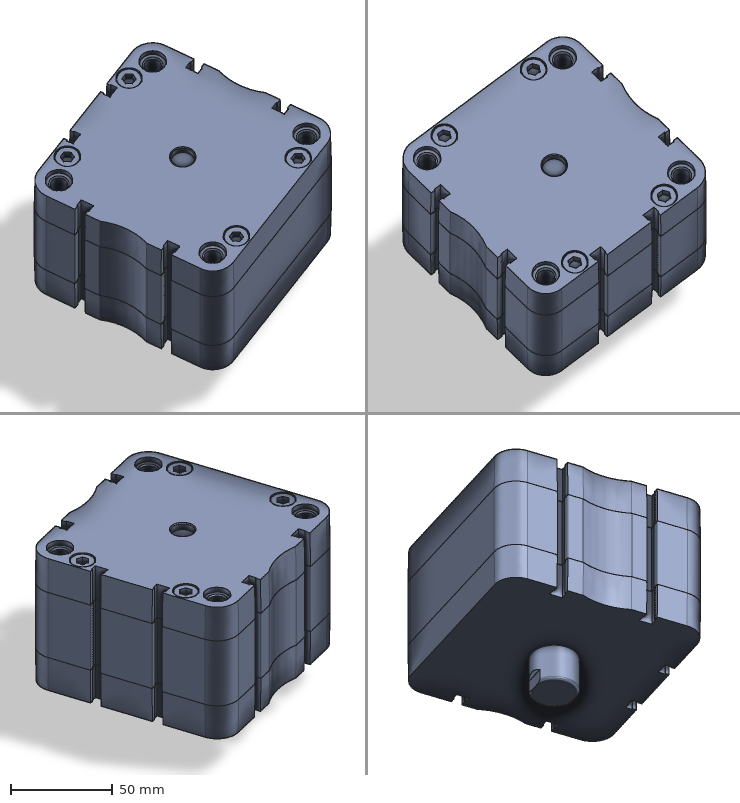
import cadquery as cq
import math


overall_height = 97.0
width = 113.5
half_width = width / 2
corner_radius = 12.3
barrel_height = 37.9
cap_height = 19.4
cap_draft = 0.37
cap_taper = math.degrees(math.atan(cap_draft / cap_height))
joint_z = barrel_height / 2
end_z = joint_z + cap_height

hollow_depth = 2.6
barrel_hollow_width = 27.2
cap_hollow_width = 26.8
hollow_edge_radius = 1.1

slot_mouth_width = 5.5
slot_inner_width = 6.6
slot_mouth_radius = 0.2
y_slot_offset = 25.0
y_slot_depth = 6.9
y_slot_lip = 3.3
x_slot_offset = 17.5
x_slot_depth = 5.8
x_slot_lip = 2.6
cap_slot_margin = 0.2

mount_offset = 44.5
mount_counterbore_diameter = 13.5
mount_counterbore_depth = 2.8
mount_hole_diameter = 8.5
mount_mouth_diameter = 10.1

screw_offset_x = 48.9
screw_offset_y = 29.3
screw_bore_diameter = 13.0
screw_head_diameter = 12.3
screw_head_recess = 0.6
screw_gap_depth = 1.7
socket_width = 6.0
socket_depth = 4.5

center_hole_diameter = 12.0
center_hole_mouth_diameter = 13.0
center_hole_depth = 3.9

rod_diameter = 25.0
rod_radius = rod_diameter / 2
rod_length = overall_height - 2 * end_z
rod_tip_radius = 1.7
flat_spacing = 22.0
flat_height = 7.3


def mirrored_points(x, y):
    return [(-x, -y), (x, -y), (x, y), (-x, y)]


def rounded_square_with_hollows(z, hollow_width):
    straight = half_width - corner_radius
    diagonal = straight + corner_radius * math.sqrt(0.5)
    hollow = hollow_width / 2
    return (
        cq.Workplane("XY", origin=(0, 0, z))
        .moveTo(straight, half_width)
        .lineTo(hollow, half_width)
        .threePointArc((0, half_width - hollow_depth), (-hollow, half_width))
        .lineTo(-straight, half_width)
        .threePointArc((-diagonal, diagonal), (-half_width, straight))
        .lineTo(-half_width, -straight)
        .threePointArc((-diagonal, -diagonal), (-straight, -half_width))
        .lineTo(-hollow, -half_width)
        .threePointArc((0, hollow_depth - half_width), (hollow, -half_width))
        .lineTo(straight, -half_width)
        .threePointArc((diagonal, -diagonal), (half_width, -straight))
        .lineTo(half_width, straight)
        .threePointArc((diagonal, diagonal), (straight, half_width))
        .close()
    )


def t_slot(depth, lip, margin):
    """A T-slot along Z that opens toward -X, for the side at x = -half_width."""
    slot_length = 2 * end_z
    slot_depth = depth + margin
    lip_depth = lip - margin
    mouth = cq.Workplane("XY").box(2 * slot_depth, slot_mouth_width + 2 * margin, slot_length)
    inner = (
        cq.Workplane("XY")
        .box(slot_depth - lip_depth, slot_inner_width + 2 * margin, slot_length)
        .translate(((slot_depth + lip_depth) / 2, 0, 0))
    )
    return mouth.union(inner).translate((-half_width, 0, 0))


def cut_slots(body, margin=0.0):
    x_slot = t_slot(x_slot_depth, x_slot_lip, margin)
    y_slot = t_slot(y_slot_depth, y_slot_lip, margin)
    for side in (-1, 1):
        body = body.cut(x_slot.translate((0, side * x_slot_offset, 0)))
        for turn in (-90, 90):
            turned_slot = y_slot.rotate((0, 0, 0), (0, 0, 1), turn)
            body = body.cut(turned_slot.translate((side * y_slot_offset, 0, 0)))
    return body


def upright_edges_at(body, points):
    edges = body.edges("|Z")
    reach = 0.1
    selector = None
    for x, y in points:
        box = cq.selectors.BoxSelector((x - reach, y - reach, -end_z), (x + reach, y + reach, end_z))
        selector = box if selector is None else selector + box
    return edges.edges(selector)


def make_barrel():
    barrel = rounded_square_with_hollows(-joint_z, barrel_hollow_width).extrude(barrel_height)
    hollow_edges = mirrored_points(barrel_hollow_width / 2, half_width)
    barrel = upright_edges_at(barrel, hollow_edges).fillet(hollow_edge_radius)
    barrel = cut_slots(barrel)
    mouth_edges = []
    for edge in (-slot_mouth_width / 2, slot_mouth_width / 2):
        mouth_edges += mirrored_points(y_slot_offset + edge, half_width)
        mouth_edges += [(-half_width, side * x_slot_offset + edge) for side in (-1, 1)]
    return upright_edges_at(barrel, mouth_edges).fillet(slot_mouth_radius)


def make_plain_cap():
    """A cap without holes, on top of the barrel, narrowing toward its outer end."""
    cap = rounded_square_with_hollows(joint_z, cap_hollow_width).extrude(cap_height, taper=cap_taper)
    return cut_slots(cap, cap_slot_margin)


def countersink(x, y, z, mouth_diameter, hole_diameter):
    """A 45-degree cone that narrows downward from z."""
    depth = (mouth_diameter - hole_diameter) / 2
    cone = cq.Solid.makeCone(
        mouth_diameter / 2, hole_diameter / 2, depth, pnt=cq.Vector(x, y, z), dir=cq.Vector(0, 0, -1)
    )
    return cq.Workplane(cone)


def cut_mounting_holes(cap, end_plane):
    places = mirrored_points(mount_offset, mount_offset)
    holes = end_plane.pushPoints(places)
    cap = cap.cut(holes.circle(mount_counterbore_diameter / 2).extrude(-mount_counterbore_depth))
    cap = cap.cut(holes.circle(mount_hole_diameter / 2).extrude(-cap_height))
    step_z = end_z - mount_counterbore_depth
    for x, y in places:
        cap = cap.cut(countersink(x, y, step_z, mount_mouth_diameter, mount_hole_diameter))
    return cap


def cut_screw_heads(cap, end_plane):
    """Leave recessed heads standing in ring-shaped gaps, each with a hexagon socket."""
    screws = end_plane.pushPoints(mirrored_points(screw_offset_x, screw_offset_y))
    gaps = screws.circle(screw_bore_diameter / 2).circle(screw_head_diameter / 2)
    cap = cap.cut(gaps.extrude(-screw_gap_depth))
    cap = cap.cut(screws.circle(screw_bore_diameter / 2).extrude(-screw_head_recess))
    return cap.cut(screws.polygon(6, socket_width, circumscribed=True).extrude(-socket_depth))


def cut_center_hole(cap, end_plane):
    cap = cap.cut(end_plane.circle(center_hole_diameter / 2).extrude(-center_hole_depth))
    return cap.cut(countersink(0, 0, end_z, center_hole_mouth_diameter, center_hole_diameter))


def make_end_cap():
    end_plane = cq.Workplane("XY", origin=(0, 0, end_z))
    cap = make_plain_cap()
    cap = cut_mounting_holes(cap, end_plane)
    cap = cut_screw_heads(cap, end_plane)
    return cut_center_hole(cap, end_plane)


def make_bearing_cap():
    return make_plain_cap().mirror("XY")


def make_piston_rod():
    """A round rod below the bearing cap with two wrench flats, each ending in a 45-degree slope."""
    tip_z = -end_z - rod_length
    rod = cq.Workplane("XY", origin=(0, 0, tip_z)).circle(rod_radius).extrude(rod_length)
    rod = rod.faces("<Z").edges().fillet(rod_tip_radius)
    flat_x = flat_spacing / 2
    flat_end_z = tip_z + flat_height
    flat_cut = (
        cq.Workplane("XZ")
        .polyline([
            (flat_x, tip_z),
            (flat_x, flat_end_z),
            (rod_radius, flat_end_z + rod_radius - flat_x),
            (rod_radius, tip_z),
        ])
        .close()
        .extrude(rod_radius, both=True)
    )
    return rod.cut(flat_cut).cut(flat_cut.mirror("YZ"))


barrel = make_barrel()
end_cap = make_end_cap()
bearing_cap = make_bearing_cap()
piston_rod = make_piston_rod()

result = cq.Compound.makeCompound([barrel.val(), end_cap.val(), bearing_cap.val(), piston_rod.val()])